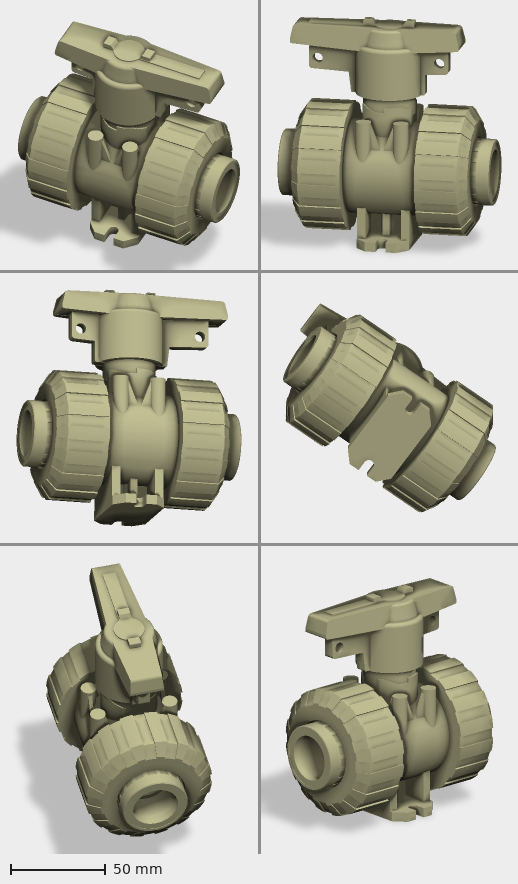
import cadquery as cq
import math


total_length = 113.5
foot_bottom = -40.2
body_radius = 24.9
body_half_length = 37.3
flow_radius = 9.82

nut_inner_end = 20.0
nut_shoulder = 42.8
nut_outer_end = 47.3
nut_radius = 34.3
nut_face_radius = 27.6
nut_bore_radius = 18.5
grip_groove_count = 16
grip_groove_width = 6.1
grip_groove_depth = 1.0

connector_radius = 17.6
connector_chamfer = 0.5
spline_root_radius = 17.2
spline_outer_end = 49.7
spline_count = 16
spline_angle = 7.5
socket_radius = 12.2
face_recess_radius = 15.8
face_recess_depth = 0.2

neck_radius = 14.9
neck_half_width = 13.2
neck_low = 32.9
neck_high = 35.6
ramp_repeat_angle = 90
ramp_start_angle = 38
ramp_end_angle = 71
ramp_steps = 6

post_radius = 4.1
post_x = 10.05
post_y = 19.5
post_top = 29.1
web_thickness = 2.0
web_slope = 2.5
side_web_tip_x = 1.0
side_web_tip_z = 14.5
inner_web_x = 11.8
inner_web_tip_y = 13.2
inner_web_tip_z = 21.1

foot_half_length = 14.1
foot_half_width = 24.2
foot_thickness = 5.0
foot_corner_x = 5.7
foot_corner_y = 6.1
foot_slot_width = 5.3
foot_slot_depth = 8.2
leg_half_width = 16.44
leg_thickness = 4.64
middle_rib_half_length = 9.33
middle_rib_thickness = 3.7
boss_radius = 4.3

stem_radius = 14.1
stem_bottom = 30.2
stem_top = 51.7

hub_radius = 17.8
hub_bottom = 40.6
hub_shoulder = 65.8
shoulder_top = 67.6
shoulder_top_radius = 16.4
shoulder_bulge = 0.4
dome_base = 67.8
dome_base_radius = 15.2
dome_edge_radius = 13.5
dome_edge = 75.5
dome_top_radius = 11.7
handle_top = 77.1
bar_end_underside = 67.0
bar_left_underside = 65.4
bar_right_underside = 65.2
bar_underside_x = 13.2
bar_end_z = 69.4
bar_left_top = -37.1
bar_left_end = -39.0
bar_right_top = 50.2
bar_right_end = 51.9
bar_end_round = 1.9
bar_bottom_round = 1.1
bar_center_half_width = 11.1
bar_half_narrowing = 0.07
bar_side_draft = 5.5
disc_radius = 8.13
raised_height = 0.78
strip_half_width = 3.5
strip_end = 42.8
hub_slot_width = 8.5
bar_channel_width = 10.4

insert_thickness = 6.3
insert_top = bar_end_underside
insert_left = -32.2
insert_right = strip_end
leg_left = -19.6
leg_right_bottom = 20.0
leg_right_top = 21.3
arm_tip_z = 52.6
arm_left_root_z = 51.9
arm_right_root_z = 51.5
arm_round = 1.8
leg_round = 1.0
lock_hole_radius = 2.8
lock_hole_z = 58.2
lock_hole_left = -27.2
lock_hole_right = 38.0
lug_top = 80.2
lug_outer = 13.7
lug_top_inner = 9.2
lug_root_inner = 7.2
lug_round = 0.6

half_length = total_length / 2


def x_cylinder(radius, start, end):
    """Round bar along X from start to end."""
    return cq.Workplane("YZ").workplane(offset=start).circle(radius).extrude(end - start)


def z_cylinder(radius, bottom, top):
    """Round bar along Z from bottom to top."""
    return cq.Workplane("XY").workplane(offset=bottom).circle(radius).extrude(top - bottom)


def block(x_range, y_range, z_range):
    """Box between two limits along each axis."""
    size = [high - low for low, high in (x_range, y_range, z_range)]
    return cq.Workplane("XY").box(*size, centered=False).translate((x_range[0], y_range[0], z_range[0]))


def plate_xz(points, thickness, y=0):
    """Plate of an XZ outline, centred on the given Y."""
    return cq.Workplane("XZ", origin=(0, y, 0)).polyline(points).close().extrude(thickness / 2, both=True)


def stop_ramp(start_angle):
    """Wedge that lowers a quarter of the neck rim from its stop down to the next one."""
    reach = 2 * neck_radius

    def rim_point(angle):
        turn = math.radians(start_angle + angle)
        return (reach * math.cos(turn), reach * math.sin(turn))

    cut = None
    span = ramp_end_angle - ramp_start_angle
    for step in range(ramp_steps):
        low_angle = ramp_start_angle + span * step / ramp_steps
        high_angle = ramp_repeat_angle if step == ramp_steps - 1 else low_angle + span / ramp_steps
        floor = neck_high - (neck_high - neck_low) * (step + 1) / ramp_steps
        sector = (
            cq.Workplane("XY")
            .workplane(offset=floor)
            .polyline([(0, 0), rim_point(low_angle), rim_point(high_angle)])
            .close()
            .extrude(neck_high)
        )
        cut = sector if cut is None else cut.union(sector)
    return cut


def make_neck():
    """Neck around the stem: two flats, a stepped rim of stop ramps and the stem seat."""
    neck = z_cylinder(neck_radius, 0, neck_high)
    sides = (-neck_half_width, neck_half_width)
    neck = neck.intersect(block(sides, (-neck_radius, neck_radius), (0, neck_high)))
    for quarter in range(4):
        neck = neck.cut(stop_ramp(quarter * ramp_repeat_angle))
    return neck


def make_post():
    """Post at +X +Y with a web toward each neighbouring post."""
    post = z_cylinder(post_radius, 0, post_top).translate((post_x, post_y, 0))
    side_root_x = side_web_tip_x + (post_top - side_web_tip_z) / web_slope
    side_web = plate_xz(
        [
            (side_web_tip_x, 0),
            (side_web_tip_x, side_web_tip_z),
            (side_root_x, post_top),
            (post_x, post_top),
            (post_x, 0),
        ],
        web_thickness,
        post_y,
    )
    inner_root_y = inner_web_tip_y + (post_top - inner_web_tip_z) / web_slope
    inner_web = (
        cq.Workplane("YZ", origin=(inner_web_x, 0, 0))
        .polyline(
            [
                (inner_web_tip_y, 0),
                (inner_web_tip_y, inner_web_tip_z),
                (inner_root_y, post_top),
                (post_y, post_top),
                (post_y, 0),
            ]
        )
        .close()
        .extrude(web_thickness / 2, both=True)
    )
    return post.union(side_web).union(inner_web)


def make_foot():
    """Slotted foot plate with two legs, a middle rib, a cross web and a boss up to the barrel."""
    foot_top = foot_bottom + foot_thickness
    x_span = (-foot_half_length, foot_half_length)
    corner_x = foot_half_length - foot_corner_x
    corner_y = foot_half_width - foot_corner_y
    right_side = [
        (corner_x, -foot_half_width),
        (foot_half_length, -corner_y),
        (foot_half_length, corner_y),
        (corner_x, foot_half_width),
    ]
    left_side = [(-x, -y) for x, y in right_side]
    plate = (
        cq.Workplane("XY")
        .workplane(offset=foot_bottom)
        .polyline(right_side + left_side)
        .close()
        .extrude(foot_thickness)
    )
    slot_half = foot_slot_width / 2
    slot_center_y = foot_half_width - foot_slot_depth + slot_half
    for side in (-1, 1):
        slot_end = z_cylinder(slot_half, foot_bottom, foot_top).translate((0, side * slot_center_y, 0))
        slot_y = sorted((side * slot_center_y, side * foot_half_width))
        plate = plate.cut(slot_end).cut(block((-slot_half, slot_half), slot_y, (foot_bottom, foot_top)))

    rise = (foot_bottom, 0)
    rib_half = middle_rib_thickness / 2
    foot = plate.union(z_cylinder(boss_radius, *rise))
    foot = foot.union(block((-rib_half, rib_half), (-middle_rib_half_length, middle_rib_half_length), rise))
    foot = foot.union(block(x_span, (-rib_half, rib_half), rise))
    for leg_x in (-foot_half_length, foot_half_length - leg_thickness):
        foot = foot.union(block((leg_x, leg_x + leg_thickness), (-leg_half_width, leg_half_width), rise))
    return foot


def make_housing():
    """Barrel between the two union nuts with neck, posts and foot, bored along the flow axis."""
    housing = x_cylinder(body_radius, -body_half_length, body_half_length)
    housing = housing.union(make_neck()).union(make_foot())
    post = make_post()
    mirrored = post.mirror("YZ")
    for corner in (post, mirrored, post.mirror("XZ"), mirrored.mirror("XZ")):
        housing = housing.union(corner)
    housing = housing.cut(z_cylinder(stem_radius, stem_bottom, stem_top))
    return housing.cut(x_cylinder(flow_radius, -body_half_length, body_half_length))


def nut_profile(inset):
    """Solid nut outline turned about X, with its outside lowered by the inset."""
    return (
        cq.Workplane("XY")
        .polyline(
            [
                (nut_inner_end, 0),
                (nut_inner_end, nut_radius - inset),
                (nut_shoulder, nut_radius - inset),
                (nut_outer_end, nut_face_radius - inset),
                (nut_outer_end, 0),
            ]
        )
        .close()
        .revolve(360, (0, 0, 0), (1, 0, 0))
    )


def make_nut():
    """Union nut with parallel-sided grip grooves."""
    grips = nut_profile(0)
    half_width = grip_groove_width / 2
    groove = block((0, nut_outer_end), (-half_width, half_width), (0, nut_radius))
    for index in range(grip_groove_count):
        grips = grips.cut(groove.rotate((0, 0, 0), (1, 0, 0), index * 360 / grip_groove_count))
    nut = nut_profile(grip_groove_depth).union(grips)
    nut = nut.cut(x_cylinder(body_radius, nut_inner_end, nut_shoulder))
    return nut.cut(x_cylinder(nut_bore_radius, nut_shoulder, nut_outer_end))


def make_connector():
    """Socket end: a collar held between housing and nut, a splined neck and a plain rim."""
    connector = x_cylinder(connector_radius, spline_outer_end, half_length)
    connector = connector.faces(">X").edges().chamfer(connector_chamfer)
    connector = connector.union(x_cylinder(spline_root_radius, nut_shoulder, spline_outer_end))
    ridge_ring = x_cylinder(connector_radius, nut_shoulder, spline_outer_end)
    half_angle = math.radians(spline_angle / 2)
    reach = connector_radius + 1.2
    wedge = (
        cq.Workplane("YZ")
        .workplane(offset=nut_shoulder)
        .polyline([(0, 0), (reach, -reach * math.tan(half_angle)), (reach, reach * math.tan(half_angle))])
        .close()
        .extrude(spline_outer_end - nut_shoulder)
    )
    ridge = ridge_ring.intersect(wedge)
    for index in range(spline_count):
        angle = (index + 0.5) * 360 / spline_count
        connector = connector.union(ridge.rotate((0, 0, 0), (1, 0, 0), angle))
    connector = connector.union(x_cylinder(body_radius, body_half_length, nut_shoulder))
    connector = connector.cut(x_cylinder(socket_radius, body_half_length, half_length))
    return connector.cut(x_cylinder(face_recess_radius, half_length - face_recess_depth, half_length))


def make_stem():
    """Round stem from its seat in the neck up into the handle hub."""
    return z_cylinder(stem_radius, stem_bottom, stem_top)


def make_insert():
    """Flat lock plate with a holed arm each way, legs beside the stem and two lugs on top."""
    plate = plate_xz(
        [
            (insert_left, insert_top),
            (insert_left, arm_tip_z),
            (leg_left, arm_left_root_z),
            (leg_left, hub_bottom),
            (leg_right_bottom, hub_bottom),
            (leg_right_top, arm_right_root_z),
            (insert_right, arm_tip_z),
            (insert_right, insert_top),
        ],
        insert_thickness,
    )

    def round_corner(shape, x, z, radius):
        size = 0.1
        corner = cq.selectors.BoxSelector(
            (x - size, -insert_thickness, z - size), (x + size, insert_thickness, z + size)
        )
        return shape.edges(corner).fillet(radius)

    for x in (insert_left, insert_right):
        plate = round_corner(plate, x, arm_tip_z, arm_round)
    for x in (leg_left, leg_right_bottom):
        plate = round_corner(plate, x, hub_bottom, leg_round)

    plate = plate.cut(z_cylinder(stem_radius, hub_bottom, stem_top))
    for x in (lock_hole_left, lock_hole_right):
        hole = cq.Workplane("XZ", origin=(x, 0, lock_hole_z)).circle(lock_hole_radius)
        plate = plate.cut(hole.extrude(insert_thickness, both=True))

    lug_root_z = handle_top + raised_height / 2
    lug = plate_xz(
        [
            (lug_root_inner, insert_top),
            (lug_root_inner, lug_root_z),
            (lug_top_inner, lug_top),
            (lug_outer, lug_top),
            (lug_outer, insert_top),
        ],
        insert_thickness,
    )
    lug = lug.faces(">X").edges(">Z").fillet(lug_round)
    return plate.union(lug).union(lug.mirror("YZ"))


def make_bar():
    """Tapered grip bar: drafted plan outline trimmed to its side outline."""
    plan_reach = 1.2 * bar_right_end
    end_half_width = bar_center_half_width - bar_half_narrowing * plan_reach
    side_reach = 2 * bar_center_half_width
    plan = (
        cq.Workplane("XY")
        .workplane(offset=handle_top)
        .polyline(
            [
                (-plan_reach, end_half_width),
                (0, bar_center_half_width),
                (plan_reach, end_half_width),
                (plan_reach, -end_half_width),
                (0, -bar_center_half_width),
                (-plan_reach, -end_half_width),
            ]
        )
        .close()
        .extrude(hub_bottom - handle_top, taper=-bar_side_draft)
    )
    side = plate_xz(
        [
            (bar_left_top, handle_top),
            (bar_left_end, bar_end_z),
            (bar_left_end, bar_end_underside),
            (-bar_underside_x, bar_left_underside),
            (bar_underside_x, bar_right_underside),
            (bar_right_end, bar_end_underside),
            (bar_right_end, bar_end_z),
            (bar_right_top, handle_top),
        ],
        2 * side_reach,
    )
    side = side.faces(">Z").edges("|Y").fillet(bar_end_round)
    for end in ("<X", ">X"):
        side = side.faces(end).edges("<Z").fillet(bar_bottom_round)
    return side.intersect(plan)


def make_hub():
    """Round hub with a rounded shoulder and a domed top."""
    bend = math.sqrt(0.5)
    dome_size = handle_top - dome_edge
    skirt = (
        cq.Workplane("XZ")
        .moveTo(dome_top_radius, hub_bottom)
        .lineTo(hub_radius, hub_bottom)
        .lineTo(hub_radius, hub_shoulder)
        .sagittaArc((shoulder_top_radius, shoulder_top), -shoulder_bulge)
        .lineTo(dome_base_radius, dome_base)
        .lineTo(dome_edge_radius, dome_edge)
        .threePointArc(
            (dome_top_radius + (dome_edge_radius - dome_top_radius) * bend, dome_edge + dome_size * bend),
            (dome_top_radius, handle_top),
        )
        .close()
        .revolve(360, (0, 0, 0), (0, 1, 0))
    )
    return skirt.union(z_cylinder(dome_top_radius, hub_bottom, handle_top))


def make_handle(insert):
    """Bar and hub with raised disc and strip, hollowed for the stem and the lock insert."""
    raised_z = (handle_top, handle_top + raised_height)
    channel_x = (bar_left_end, bar_right_end)
    channel_z = (hub_bottom, insert_top)
    channel_half = bar_channel_width / 2
    slot_half = hub_slot_width / 2
    handle = make_bar().cut(block(channel_x, (-channel_half, channel_half), channel_z))
    handle = handle.union(make_hub())
    handle = handle.union(z_cylinder(disc_radius, *raised_z))
    handle = handle.union(block((0, strip_end), (-strip_half_width, strip_half_width), raised_z))
    handle = handle.cut(block(channel_x, (-slot_half, slot_half), channel_z))
    handle = handle.cut(z_cylinder(stem_radius, hub_bottom, stem_top))
    return handle.cut(insert)


housing = make_housing()
stem = make_stem()
insert = make_insert()
handle = make_handle(insert)

right_nut = make_nut()
right_connector = make_connector()
end_fittings = []
for fitting in (right_nut, right_connector):
    end_fittings += [fitting.solids().val(), fitting.mirror("YZ").solids().val()]

single_bodies = [body.solids().val() for body in (housing, stem, insert, handle)]
result = cq.Compound.makeCompound([*single_bodies, *end_fittings])